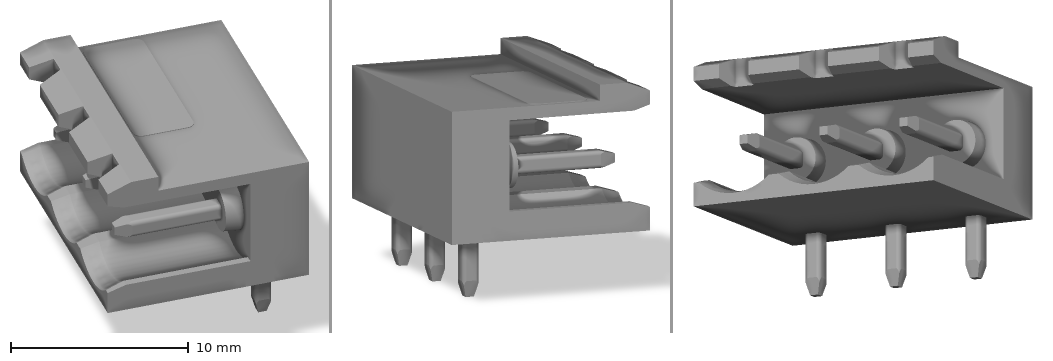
import cadquery as cq


WIDTH = 15.24
DEPTH = 12.0
HEIGHT = 7.64
MOUTH_DEPTH = 8.5
FLOOR_TOP = 1.68
CEILING_REAR = 6.9
CEILING_FRONT = 6.93
POLES = 3
PITCH = WIDTH / POLES
POLE_X = [(i - (POLES - 1) / 2) * PITCH for i in range(POLES)]

LIP_TOP = 8.56
LIP_DEPTH = 3.02
LIP_BEVEL_DEPTH = 1.4
LIP_NOSE_TOP = 8.03
LIP_NOSE_BOTTOM = 7.22
CEILING_BEVEL_DEPTH = 0.96
NOTCH_DEPTH = 1.34
NOTCH_FRONT_WIDTH = 1.86
NOTCH_REAR_WIDTH = 1.16

FLOOR_BEVEL_DEPTH = 1.08
FLOOR_BEVEL_DROP = 0.32
TROUGH_RADIUS = 3.1
TROUGH_BOTTOM = 0.85
TROUGH_AXIS_Z = TROUGH_BOTTOM + TROUGH_RADIUS

COLLAR_LENGTH = 1.04
COLLAR_BASE_RADIUS = 1.4
COLLAR_END_RADIUS = 1.3

PAD_LENGTH = 9.48
PAD_WIDTH = 3.61
PAD_CENTRE_X = -2.59
PAD_CENTRE_Y = 5.33
PAD_RAISE = 0.05
PAD_CORNER_RADIUS = 0.5

PIN_SIZE = 1.0
PIN_EDGE_RADIUS = 0.25
PIN_TIP_SIZE = 0.5
PIN_TIP_LENGTH = 0.96
PIN_AXIS_Z = 3.84
PIN_AXIS_Y = 10.0
CONTACT_TIP_Y = 1.2
SOLDER_TIP_Z = -3.5


def housing_block():
    """C-shaped side profile with the latch lip, extruded over the full width."""
    profile = [
        (0, 0),
        (DEPTH, 0),
        (DEPTH, HEIGHT),
        (LIP_DEPTH, HEIGHT),
        (LIP_DEPTH, LIP_TOP),
        (LIP_BEVEL_DEPTH, LIP_TOP),
        (0, LIP_NOSE_TOP),
        (0, LIP_NOSE_BOTTOM),
        (CEILING_BEVEL_DEPTH, CEILING_FRONT),
        (MOUTH_DEPTH, CEILING_REAR),
        (MOUTH_DEPTH, FLOOR_TOP),
        (FLOOR_BEVEL_DEPTH, FLOOR_TOP),
        (0, FLOOR_TOP - FLOOR_BEVEL_DROP),
    ]
    return cq.Workplane("YZ").polyline(profile).close().extrude(WIDTH / 2, both=True)


def trough(x):
    """Cylinder in the floor below a pin, flared to a cone over the floor bevel."""
    inward = cq.Vector(0, 1, 0)
    cylinder = cq.Solid.makeCylinder(
        TROUGH_RADIUS, MOUTH_DEPTH, cq.Vector(x, 0, TROUGH_AXIS_Z), inward
    )
    flare = cq.Solid.makeCone(
        TROUGH_RADIUS + FLOOR_BEVEL_DROP,
        TROUGH_RADIUS,
        FLOOR_BEVEL_DEPTH,
        cq.Vector(x, 0, TROUGH_AXIS_Z),
        inward,
    )
    lower_half = cq.Workplane("XY").box(
        PITCH, MOUTH_DEPTH, TROUGH_AXIS_Z, centered=(True, False, False)
    ).translate((x, 0, 0))
    return lower_half.intersect(cq.Workplane(cylinder.fuse(flare)))


def lip_notch(x):
    """Notch through the latch lip, widening towards the front."""
    outline = [
        (x - NOTCH_FRONT_WIDTH / 2, 0),
        (x + NOTCH_FRONT_WIDTH / 2, 0),
        (x + NOTCH_REAR_WIDTH / 2, NOTCH_DEPTH),
        (x - NOTCH_REAR_WIDTH / 2, NOTCH_DEPTH),
    ]
    notch = cq.Workplane("XY").workplane(offset=PIN_AXIS_Z).polyline(outline).close()
    return notch.extrude(LIP_TOP - PIN_AXIS_Z)


def collar(x):
    """Tapered round collar on the inner back wall."""
    return cq.Workplane(cq.Solid.makeCone(
        COLLAR_BASE_RADIUS,
        COLLAR_END_RADIUS,
        COLLAR_LENGTH,
        cq.Vector(x, MOUTH_DEPTH, PIN_AXIS_Z),
        cq.Vector(0, -1, 0),
    ))


def label_pad():
    """Slightly raised pad with rounded corners on the roof."""
    pad = cq.Workplane("XY").box(
        PAD_LENGTH, PAD_WIDTH, PAD_RAISE, centered=(True, True, False)
    )
    pad = pad.edges("|Z").fillet(PAD_CORNER_RADIUS)
    return pad.translate((PAD_CENTRE_X, PAD_CENTRE_Y, HEIGHT))


def pin_leg(reach):
    """Round-edged square bar along +Z with a tapered tip; its elbow axis is at Z = 0."""
    start = -PIN_SIZE / 2
    tip_start = reach - PIN_TIP_LENGTH
    bar = cq.Workplane("XY").workplane(offset=start).rect(PIN_SIZE, PIN_SIZE)
    bar = bar.extrude(reach - start).edges("|Z").fillet(PIN_EDGE_RADIUS)
    shank = cq.Workplane("XY").workplane(offset=start).rect(PIN_SIZE, PIN_SIZE)
    shank = shank.extrude(tip_start - start)
    tip = cq.Workplane("XY").workplane(offset=tip_start).rect(PIN_SIZE, PIN_SIZE)
    tip = tip.workplane(offset=PIN_TIP_LENGTH).rect(PIN_TIP_SIZE, PIN_TIP_SIZE).loft()
    return bar.intersect(shank.union(tip))


def pin(x):
    """L-shaped pin: contact leg towards the front, solder leg downwards."""
    contact = pin_leg(PIN_AXIS_Y - CONTACT_TIP_Y).rotate((0, 0, 0), (1, 0, 0), 90)
    solder = pin_leg(PIN_AXIS_Z - SOLDER_TIP_Z).rotate((0, 0, 0), (1, 0, 0), 180)
    return contact.union(solder).translate((x, PIN_AXIS_Y, PIN_AXIS_Z))


pins = [pin(x) for x in POLE_X]

housing = housing_block().union(label_pad())
for x in POLE_X:
    housing = housing.cut(trough(x)).cut(lip_notch(x)).union(collar(x))
for pole_pin in pins:
    housing = housing.cut(pole_pin)

result = cq.Compound.makeCompound([housing.val(), *[pole_pin.val() for pole_pin in pins]])